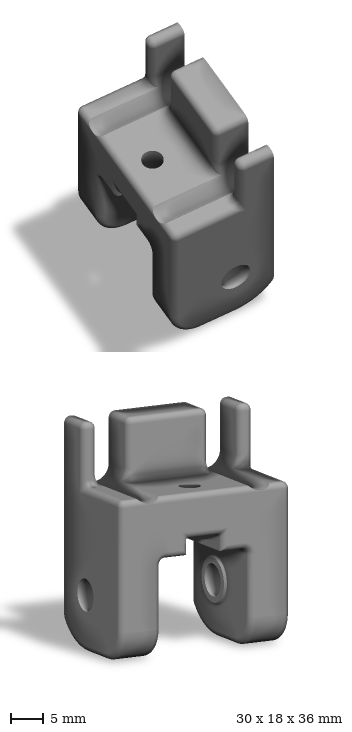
import cadquery as cq
import math

width = 30.0
depth = 18.0
height = 36.03
back_y = depth / 2
front_y = -depth / 2

edge_radius = 1.0

shelf_z = 25.95
wall_depth = 6.0
step_y = back_y - wall_depth

pin_y = 2.2
pin_z = 9.0
pin_diameter = 5.2
toe_radius = 5.0

gap_width = 15.7
gap_top_z = 16.07

groove_x = 9.85
groove_radius = 2.7
groove_bottom_z = 25.15
groove_center_z = groove_bottom_z + groove_radius

pad_radius = 3.93
pad_height = 0.35
pad_chamfer = 0.32

shelf_hole_diameter = 3.5
shelf_hole_y = -4.0

channel_width = 6.0
channel_top_z = 18.8
channel_corner_radius = 0.5

tolerance = 0.005


def make_body():
    """Side outline extruded across the width, with the gap between the legs cut out."""
    heel_z = pin_z - math.sqrt(pin_z**2 - (back_y - pin_y) ** 2)
    heel_angle = (math.pi / 2 + math.acos((back_y - pin_y) / pin_z)) / 2
    heel_mid = (pin_y + pin_z * math.cos(heel_angle), pin_z - pin_z * math.sin(heel_angle))
    toe_offset = toe_radius * (1 - math.sqrt(0.5))
    body = (
        cq.Workplane("YZ")
        .moveTo(back_y, height)
        .lineTo(step_y, height)
        .lineTo(step_y, shelf_z)
        .lineTo(front_y, shelf_z)
        .lineTo(front_y, toe_radius)
        .threePointArc((front_y + toe_offset, toe_offset), (front_y + toe_radius, 0))
        .lineTo(pin_y, 0)
        .threePointArc(heel_mid, (back_y, heel_z))
        .close()
        .extrude(width / 2, both=True)
    )
    gap = (
        cq.Workplane("XY")
        .box(gap_width, 2 * depth, 2 * gap_top_z)
        .edges("|Y and >Z")
        .fillet(edge_radius)
    )
    return body.cut(gap)


def groove_places():
    return (-groove_x, groove_x)


def make_groove(x, front):
    """Cutter for one round-bottomed groove at x, running from the back face to y = front."""
    over = height + edge_radius
    return (
        cq.Workplane("XZ", origin=(x, back_y, 0))
        .moveTo(-groove_radius, over)
        .lineTo(-groove_radius, groove_center_z)
        .threePointArc((0, groove_bottom_z), (groove_radius, groove_center_z))
        .lineTo(groove_radius, over)
        .close()
        .extrude(back_y - front)
    )


def make_slot(x):
    """Cutter for a square slot through the rear wall at x, down to the shelf."""
    slot_size = (2 * groove_radius, wall_depth, height)
    return cq.Workplane("XY").box(*slot_size, centered=(True, False, False)).translate((x, step_y, shelf_z))


def is_outer_edge(edge):
    """Convex edges to round: all but those on the back face and across the toes."""
    box = edge.BoundingBox()
    center = edge.Center()
    if box.ymin > back_y - tolerance:
        return False
    if box.xlen < tolerance:
        on_outer_side = abs(center.x) > width / 2 - tolerance
        on_leg_side = abs(abs(center.x) - gap_width / 2) < tolerance and center.z < gap_top_z
        on_top = box.zmin > height - tolerance
        on_wall_corner = abs(center.y - step_y) < tolerance and box.ylen < tolerance
        return on_outer_side or on_leg_side or on_top or on_wall_corner
    on_front = box.ymax < front_y + tolerance and center.z > toe_radius + tolerance
    on_top_front = abs(center.y - step_y) < tolerance and box.zmin > height - tolerance
    return on_front or on_top_front


def is_wall_foot(edge):
    """Edges where the front faces of the posts and the block meet the shelf."""
    center = edge.Center()
    on_foot = abs(center.y - step_y) < tolerance and abs(center.z - shelf_z) < tolerance
    return on_foot and edge.BoundingBox().xlen > tolerance


def round_edges(body, chooser):
    chosen = [edge for edge in body.edges().vals() if chooser(edge)]
    return body.newObject(chosen).fillet(edge_radius)


def cut_all(body, cutters):
    for cutter in cutters:
        body = body.cut(cutter)
    return body


def make_rounded_body():
    """Grooved body with rounded edges and a fillet around the feet of the posts and block."""
    plain = make_body()
    slotted = cut_all(plain, [make_slot(x) for x in groove_places()])
    slotted = round_edges(round_edges(slotted, is_outer_edge), is_wall_foot)
    groove_stop_y = front_y + 3 * edge_radius
    grooved = cut_all(plain, [make_groove(x, groove_stop_y) for x in groove_places()])
    grooved = round_edges(grooved, is_outer_edge)
    return cut_all(slotted.union(grooved), [make_groove(x, front_y) for x in groove_places()])


def add_pads(body):
    """Raised, chamfered pads on the inner leg faces, around the pin axis."""
    for side in (-1, 1):
        pad = (
            cq.Workplane("YZ", origin=(side * gap_width / 2, pin_y, pin_z))
            .circle(pad_radius)
            .extrude(-side * pad_height)
            .faces("<X" if side > 0 else ">X")
            .chamfer(pad_chamfer)
        )
        body = body.union(pad)
    return body


def make_channel():
    """Cutter for the channel, with a rounded mouth and rounded upper corners."""
    half_width = channel_width / 2
    mouth_end_y = front_y + edge_radius
    bend = edge_radius * (1 - math.sqrt(0.5))
    plan = (
        cq.Workplane("XY")
        .moveTo(-half_width - edge_radius, front_y)
        .threePointArc((-half_width - bend, front_y + bend), (-half_width, mouth_end_y))
        .lineTo(-half_width, back_y)
        .lineTo(half_width, back_y)
        .lineTo(half_width, mouth_end_y)
        .threePointArc((half_width + bend, front_y + bend), (half_width + edge_radius, front_y))
        .close()
        .extrude(height)
    )
    side = (
        cq.Workplane("YZ")
        .moveTo(front_y, channel_top_z + edge_radius)
        .threePointArc((front_y + bend, channel_top_z + bend), (mouth_end_y, channel_top_z))
        .lineTo(back_y, channel_top_z)
        .lineTo(back_y, pin_z)
        .lineTo(front_y, pin_z)
        .close()
        .extrude(width, both=True)
    )
    roof_corners = cq.selectors.BoxSelector(
        (-width, mouth_end_y, channel_top_z - tolerance),
        (width, back_y - tolerance, channel_top_z + tolerance),
    )
    channel = plan.intersect(side).edges("|Y").edges(roof_corners).fillet(channel_corner_radius)
    reach = channel_top_z - pin_z
    drop = reach * math.sqrt(0.5)
    limit = (
        cq.Workplane("YZ")
        .moveTo(front_y, height)
        .lineTo(pin_y, height)
        .lineTo(pin_y, channel_top_z)
        .threePointArc((pin_y + drop, pin_z + drop), (pin_y + reach, pin_z))
        .lineTo(front_y, pin_z)
        .close()
        .extrude(width, both=True)
    )
    return channel.intersect(limit)


body = add_pads(make_rounded_body())
pin_hole = cq.Workplane("YZ", origin=(0, pin_y, pin_z)).circle(pin_diameter / 2).extrude(width, both=True)
shelf_hole = cq.Workplane("XY", origin=(0, shelf_hole_y, 0)).circle(shelf_hole_diameter / 2).extrude(height)
result = cut_all(body, [make_channel(), pin_hole, shelf_hole])